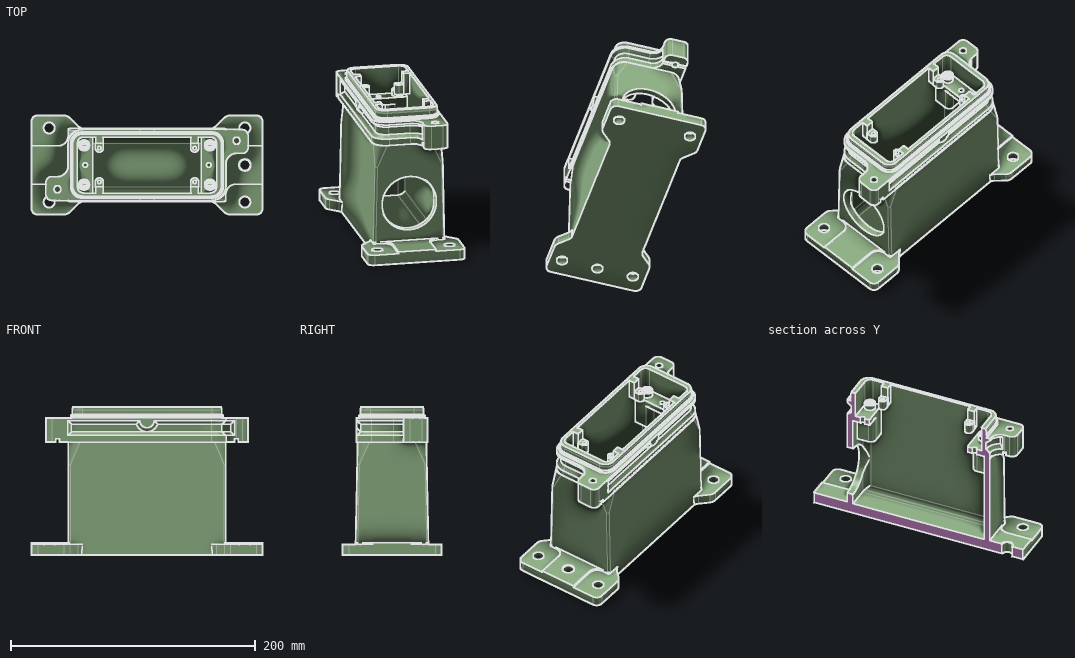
import cadquery as cq
import math

PLATE_LENGTH = 189.0
PLATE_WIDTH = 81.0
PLATE_HEIGHT = 8.7
PLATE_CORNER_RADIUS = 5.1
PAD_INNER_X = 65.0
PAD_FLANK_RADIUS = 6.8
PAD_ROOT_RADIUS = 7.5
WAIST_HALF_WIDTH = 29.7
BAND_HEIGHT = 10.2
BAND_WIDTH = 31.4
BAND_FLARE = 8.1
MOUNT_HOLE_DIAMETER = 8.9
MOUNT_HOLE_X = 80.0
MOUNT_HOLE_Y = 30.2
CENTER_HOLE_CHAMFER = 0.47

BODY_LENGTH = 128.9
BODY_BASE_WIDTH = 60.1
BODY_TOP_WIDTH = 56.3
BODY_EDGE_RADIUS = 1.7
BODY_TOP_RADIUS = 9.5
SHOULDER_Z = 74.3

FLANGE_BOTTOM = 92.2
FLANGE_TOP = 112.0
FLANGE_LENGTH = 129.0
FLANGE_WIDTH = 58.0
FLANGE_RADIUS = 12.1
EAR_TIP_X = 82.5
EAR_INNER_Y = 9.5
EAR_RADIUS = 5.0
EAR_ROOT_RADIUS = 8.5
EAR_HOLE_DIAMETER = 5.7
EAR_HOLE_X = 73.1
EAR_HOLE_Y = 19.8
NOTCH_X = 71.6
NOTCH_WIDTH = 2.8
NOTCH_HEIGHT = 2.6

GROOVE_BOTTOM = 97.7
GROOVE_TOP = 109.8
GROOVE_DEPTH = 3.4
GROOVE_WALL_RISE = 2.8
GROOVE_END_X = 71.6
GROOVE_START_SLOPE = 2.8
GROOVE_END_SLOPE = 4.5
KNOB_FACE_RADIUS = 5.9
KNOB_ROOT_RADIUS = 9.0

COLLAR_TOP = 121.0
COLLAR_LENGTH = 122.5
COLLAR_WIDTH = 51.8
COLLAR_RADIUS = 8.3
COLLAR_EDGE_INSET = 0.5
COLLAR_EDGE_HEIGHT = 2.0
BEAD_OVERHANG = 1.1
BEAD_LOWER_Z = 113.2
BEAD_UPPER_Z = 114.0
BEAD_END_Z = 115.0

CAVITY_LENGTH = 113.5
LOWER_CAVITY_LENGTH = 118.0
CAVITY_WIDTH = 45.7
CAVITY_RADIUS = 5.0
CAVITY_FLOOR = 9.8
CABLE_HOLE_DIAMETER = 45.5
CABLE_HOLE_Z = 41.8

SHELF_INNER_X = 44.2
SHELF_TOP = 98.0
SHELF_THICKNESS = 5.7
SHELF_HOLE_DIAMETER = 3.8
SHELF_HOLE_X = 50.5
POST_INNER_Y = 7.5
POST_BOTTOM = 70.0
POST_RADIUS = 4.7
SCREW_X = 51.5
SCREW_Y = 16.0
SCREW_DIAMETER = 8.9
SCREW_HEIGHT = 5.3
SCREW_EDGE = 0.8
SCREW_DISH_DIAMETER = 5.1
SCREW_DISH_DEPTH = 0.5
SCREW_SLOT_LENGTH = 4.2
SCREW_SLOT_WIDTH = 1.5
SCREW_SLOT_DEPTH = 2.3
PILLAR_X = 39.0
PILLAR_WIDTH = 6.0
PILLAR_INNER_Y = 17.8
TAB_WIDTH = 6.6
TAB_CENTER_Y = 13.8
TAB_TOP = 111.3
TAB_BOTTOM = 103.2
TAB_HOLE_DIAMETER = 2.8

BODY_HALF_LENGTH = BODY_LENGTH / 2
FLANGE_HALF_LENGTH = FLANGE_LENGTH / 2
FLANGE_HALF_WIDTH = FLANGE_WIDTH / 2
CAVITY_HALF_WIDTH = CAVITY_WIDTH / 2
SHELF_BOTTOM = SHELF_TOP - SHELF_THICKNESS
SIGNS = (-1, 1)
TOLERANCE = 0.02
WALL_OVERLAP = 1.9


def box(x_range, y_range, z_range):
    """Axis-aligned block between pairs of limits given in any order."""
    (x0, x1), (y0, y1), (z0, z1) = (sorted(limits) for limits in (x_range, y_range, z_range))
    return cq.Workplane("XY").box(x1 - x0, y1 - y0, z1 - z0, centered=False).translate((x0, y0, z0))


def cylinder(x, y, z_range, diameter):
    bottom, top = z_range
    plane = cq.Workplane("XY", origin=(x, y, bottom))
    return plane.circle(diameter / 2).extrude(top - bottom)


def rounded_rectangle(length, width, radius, z):
    sketch = cq.Sketch().rect(length, width).vertices().fillet(radius)
    return sketch.moved(cq.Location(cq.Vector(0, 0, z)))


def stacked(*sections):
    """Solid whose straight-sided layers run through the sections in order."""
    return cq.Workplane("XY").placeSketch(*sections).loft(ruled=True)


def half_turn(shape):
    return shape.rotate((0, 0, 0), (0, 0, 1), 180)


def at_corners(x, y):
    return [(sx * x, sy * y) for sx in SIGNS for sy in SIGNS]


def near(solid, x, y):
    """Vertical edges of a solid at the four mirrored places of (x, y)."""
    def matches(edge):
        center = edge.Center()
        return math.dist((abs(center.x), abs(center.y)), (x, y)) < TOLERANCE

    return solid.edges("|Z").filter(matches)


def base_plate():
    half_length = PLATE_LENGTH / 2
    half_width = PLATE_WIDTH / 2
    root_x = PAD_INNER_X - (half_width - WAIST_HALF_WIDTH)
    quarter = [(half_length, half_width), (PAD_INNER_X, half_width), (root_x, WAIST_HALF_WIDTH)]
    upper = quarter + [(-x, y) for x, y in reversed(quarter)]
    lower = [(x, -y) for x, y in reversed(upper)]
    plate = cq.Workplane("XY").polyline(upper + lower).close().extrude(PLATE_HEIGHT)
    plate = near(plate, half_length, half_width).fillet(PLATE_CORNER_RADIUS)
    plate = near(plate, PAD_INNER_X, half_width).fillet(PAD_FLANK_RADIUS)
    plate = near(plate, root_x, WAIST_HALF_WIDTH).fillet(PAD_ROOT_RADIUS)

    band = box((-half_length, half_length), (-BAND_WIDTH / 2, BAND_WIDTH / 2), (0, BAND_HEIGHT))
    band = band.union(box(
        (-BODY_HALF_LENGTH, BODY_HALF_LENGTH), (-WAIST_HALF_WIDTH, WAIST_HALF_WIDTH), (0, BAND_HEIGHT)
    ))
    band = near(band, BODY_HALF_LENGTH, BAND_WIDTH / 2).fillet(BAND_FLARE)
    return plate.union(band)


def drill_base(part):
    for x, y in at_corners(MOUNT_HOLE_X, MOUNT_HOLE_Y):
        part = part.cut(cylinder(x, y, (0, PLATE_HEIGHT), MOUNT_HOLE_DIAMETER))
    center_hole = cylinder(MOUNT_HOLE_X, 0, (0, BAND_HEIGHT), MOUNT_HOLE_DIAMETER)
    hole_radius = MOUNT_HOLE_DIAMETER / 2
    countersink = cq.Workplane(cq.Solid.makeCone(
        hole_radius,
        hole_radius + CENTER_HOLE_CHAMFER,
        CENTER_HOLE_CHAMFER,
        cq.Vector(MOUNT_HOLE_X, 0, BAND_HEIGHT - CENTER_HOLE_CHAMFER),
    ))
    return part.cut(center_hole).cut(countersink)


def body():
    shoulder_width = BODY_BASE_WIDTH + (BODY_TOP_WIDTH - BODY_BASE_WIDTH) * SHOULDER_Z / FLANGE_BOTTOM
    return stacked(
        rounded_rectangle(BODY_LENGTH, BODY_BASE_WIDTH, BODY_EDGE_RADIUS, 0),
        rounded_rectangle(BODY_LENGTH, shoulder_width, BODY_EDGE_RADIUS, SHOULDER_Z),
        rounded_rectangle(BODY_LENGTH, BODY_TOP_WIDTH, BODY_TOP_RADIUS, FLANGE_BOTTOM),
    )


def flange_slab():
    height = FLANGE_TOP - FLANGE_BOTTOM
    outline = [
        (FLANGE_HALF_LENGTH, -FLANGE_HALF_WIDTH),
        (FLANGE_HALF_LENGTH, EAR_INNER_Y),
        (EAR_TIP_X, EAR_INNER_Y),
        (EAR_TIP_X, FLANGE_HALF_WIDTH),
    ]
    outline += [(-x, -y) for x, y in outline]
    slab = cq.Workplane("XY").polyline(outline).close().extrude(height)
    slab = near(slab, FLANGE_HALF_LENGTH, FLANGE_HALF_WIDTH).fillet(FLANGE_RADIUS)
    slab = near(slab, FLANGE_HALF_LENGTH, EAR_INNER_Y).fillet(EAR_ROOT_RADIUS)
    for y in (EAR_INNER_Y, FLANGE_HALF_WIDTH):
        slab = near(slab, EAR_TIP_X, y).fillet(EAR_RADIUS)
    return slab.translate((0, 0, FLANGE_BOTTOM))


def groove_belt(slab):
    """Ring of trapezoidal section that runs around the whole flange outline."""
    outer = slab.faces("<Z").wires().val().translate(cq.Vector(0, 0, -FLANGE_BOTTOM))
    inner = outer.offset2D(-GROOVE_DEPTH)[0]

    def raised(wire, z):
        return wire.translate(cq.Vector(0, 0, z))

    core = cq.Solid.makeLoft([
        raised(outer, GROOVE_BOTTOM),
        raised(inner, GROOVE_BOTTOM + GROOVE_WALL_RISE),
        raised(inner, GROOVE_TOP - GROOVE_WALL_RISE),
        raised(outer, GROOVE_TOP),
    ], True)
    belt = cq.Workplane(cq.Solid.extrudeLinear(
        raised(outer, GROOVE_BOTTOM), [], cq.Vector(0, 0, GROOVE_TOP - GROOVE_BOTTOM)
    ))
    return belt.cut(cq.Workplane(core))


def groove_reach():
    """Region along the front and one end in which the groove is present."""
    start_x = -FLANGE_HALF_LENGTH
    front_y = -FLANGE_HALF_WIDTH
    end_y = EAR_INNER_Y + GROOVE_DEPTH
    outline = [
        (start_x, front_y),
        (GROOVE_END_X, front_y),
        (GROOVE_END_X, EAR_INNER_Y),
        (GROOVE_END_X - GROOVE_END_SLOPE, end_y),
        (start_x + GROOVE_START_SLOPE, end_y),
        (start_x + GROOVE_START_SLOPE, front_y + GROOVE_DEPTH),
    ]
    return cq.Workplane("XY").polyline(outline).close().extrude(GROOVE_TOP)


def groove_knob():
    """Half cone that hangs from the upper groove wall in the middle of the front."""
    plane = cq.Workplane("XZ", origin=(0, GROOVE_DEPTH - FLANGE_HALF_WIDTH, GROOVE_TOP))
    cone = plane.circle(KNOB_ROOT_RADIUS).workplane(offset=GROOVE_DEPTH).circle(KNOB_FACE_RADIUS).loft()
    lower_half = box(
        (-KNOB_ROOT_RADIUS, KNOB_ROOT_RADIUS), (-FLANGE_HALF_WIDTH, 0), (FLANGE_BOTTOM, GROOVE_TOP)
    )
    return cone.intersect(lower_half)


def flange():
    slab = flange_slab()
    groove = groove_belt(slab).intersect(groove_reach()).cut(groove_knob())
    notch = box(
        (NOTCH_X, NOTCH_X + NOTCH_WIDTH), (0, FLANGE_WIDTH), (FLANGE_BOTTOM, FLANGE_BOTTOM + NOTCH_HEIGHT)
    )
    ear_hole = cylinder(EAR_HOLE_X, EAR_HOLE_Y, (FLANGE_BOTTOM, FLANGE_TOP), EAR_HOLE_DIAMETER)
    for cutter in (groove, notch, ear_hole):
        slab = slab.cut(cutter).cut(half_turn(cutter))
    return slab


def collar():
    layers = [
        (FLANGE_TOP, 0),
        (BEAD_LOWER_Z, BEAD_OVERHANG),
        (BEAD_UPPER_Z, BEAD_OVERHANG),
        (BEAD_END_Z, 0),
        (COLLAR_TOP - COLLAR_EDGE_HEIGHT, 0),
        (COLLAR_TOP, -COLLAR_EDGE_INSET),
    ]
    sections = [
        rounded_rectangle(COLLAR_LENGTH + 2 * grow, COLLAR_WIDTH + 2 * grow, COLLAR_RADIUS + grow, z)
        for z, grow in layers
    ]
    return stacked(*sections)


def cavity():
    def well(length, z_range):
        bottom, top = z_range
        plane = cq.Workplane("XY", origin=(0, 0, bottom))
        return plane.rect(length, CAVITY_WIDTH).extrude(top - bottom)

    upper = well(CAVITY_LENGTH, (SHELF_BOTTOM, COLLAR_TOP)).edges("|Z").fillet(CAVITY_RADIUS)
    lower_block = well(LOWER_CAVITY_LENGTH, (CAVITY_FLOOR, SHELF_BOTTOM))
    round_ends = lower_block.edges("|Z").fillet(CAVITY_RADIUS)
    round_floor = lower_block.edges("|X and <Z").fillet(CAVITY_RADIUS)
    return round_ends.intersect(round_floor).union(upper)


def cable_hole():
    plane = cq.Workplane("YZ", origin=(-BODY_HALF_LENGTH, 0, CABLE_HOLE_Z))
    return plane.circle(CABLE_HOLE_DIAMETER / 2).extrude(BODY_HALF_LENGTH)


def shelf(side):
    x_range = (side * SHELF_INNER_X, side * (LOWER_CAVITY_LENGTH / 2 + WALL_OVERLAP))
    wall_y = CAVITY_HALF_WIDTH + WALL_OVERLAP
    plate = box(x_range, (-wall_y, wall_y), (SHELF_BOTTOM, SHELF_TOP))
    plate = plate.cut(cylinder(side * SHELF_HOLE_X, 0, (SHELF_BOTTOM, SHELF_TOP), SHELF_HOLE_DIAMETER))
    inner_selector = "<X" if side > 0 else ">X"
    for sy in SIGNS:
        post = box(x_range, (sy * POST_INNER_Y, sy * wall_y), (POST_BOTTOM, SHELF_BOTTOM))
        free_edge = post.faces(inner_selector).edges("|Z").edges("<Y" if sy > 0 else ">Y")
        plate = plate.union(free_edge.fillet(POST_RADIUS))
        plate = plate.union(screw_head().translate((side * SCREW_X, sy * SCREW_Y, SHELF_TOP)))
    return plate


def screw_head():
    head = cylinder(0, 0, (0, SCREW_HEIGHT), SCREW_DIAMETER).faces(">Z").chamfer(SCREW_EDGE)
    head = head.cut(cylinder(0, 0, (SCREW_HEIGHT - SCREW_DISH_DEPTH, SCREW_HEIGHT), SCREW_DISH_DIAMETER))
    recess = cq.Workplane("XY", origin=(0, 0, SCREW_HEIGHT - SCREW_SLOT_DEPTH))
    for size in ((SCREW_SLOT_LENGTH, SCREW_SLOT_WIDTH), (SCREW_SLOT_WIDTH, SCREW_SLOT_LENGTH)):
        head = head.cut(recess.rect(*size).extrude(SCREW_SLOT_DEPTH))
    return head


def contact_support(sx, sy):
    """Pillar on a long wall with a lower, round-ended, drilled tab in front of it."""
    x = sx * PILLAR_X
    wall_y = sy * (CAVITY_HALF_WIDTH + WALL_OVERLAP)
    half_pillar = PILLAR_WIDTH / 2
    half_tab = TAB_WIDTH / 2
    pillar = box((x - half_pillar, x + half_pillar), (sy * PILLAR_INNER_Y, wall_y), (TAB_BOTTOM, COLLAR_TOP))
    tab = box((x - half_tab, x + half_tab), (sy * TAB_CENTER_Y, sy * PILLAR_INNER_Y), (TAB_BOTTOM, TAB_TOP))
    tab = tab.union(cylinder(x, sy * TAB_CENTER_Y, (TAB_BOTTOM, TAB_TOP), TAB_WIDTH))
    tab = tab.cut(cylinder(x, sy * TAB_CENTER_Y, (TAB_BOTTOM, TAB_TOP), TAB_HOLE_DIAMETER))
    return pillar.union(tab)


housing = base_plate().union(body()).union(flange()).union(collar())
housing = drill_base(housing).cut(cavity()).cut(cable_hole())
for side in SIGNS:
    housing = housing.union(shelf(side))
for sx, sy in at_corners(1, 1):
    housing = housing.union(contact_support(sx, sy))

result = housing